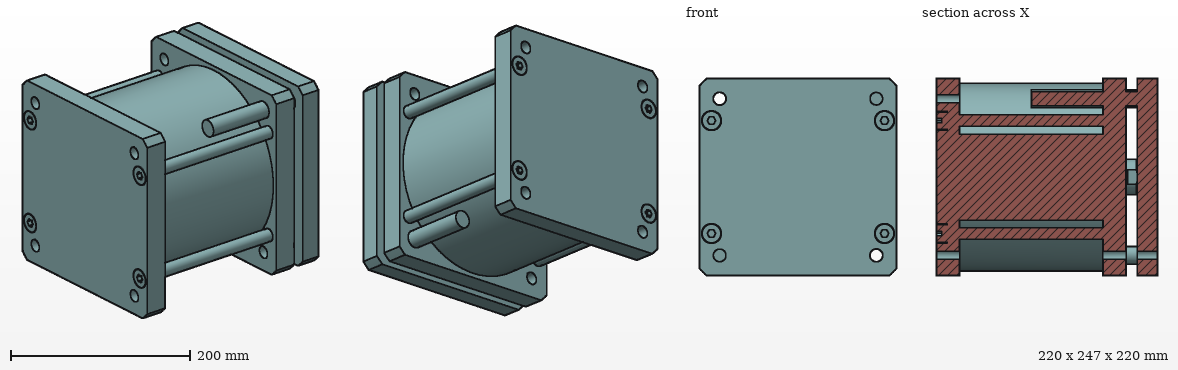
import cadquery as cq

plate_side = 220.0
corner_turning_diameter = 300.0
cover_thickness = 26.0
barrel_length = 160.0
gap = 12.0
tool_plate_thickness = 23.0

barrel_diameter = 210.0

piston_rod_diameter = 40.0
flat_distance = 36.5
flat_length = 10.4
rod_end_chamfer = 1.0

tie_rod_diameter = 15.0
tie_rod_x = 96.5
tie_rod_z = 63.0
counterbore_diameter = 22.0
screw_head_diameter = 21.0
screw_groove_depth = 12.0
socket_sides = 6
socket_across_corners = 9.5
socket_depth = 6.0

guide_offset = 87.5
guide_rod_diameter = 20.0
guide_rod_overhang = 80.0
corner_hole_diameter = 14.0

total_length = 2 * cover_thickness + barrel_length + gap + tool_plate_thickness
front_face = -total_length / 2
barrel_start = front_face + cover_thickness
barrel_end = barrel_start + barrel_length
gap_start = barrel_end + cover_thickness
gap_end = gap_start + gap
back_face = gap_end + tool_plate_thickness

AXIS = [(0, 0)]
SIGNS = (-1, 1)
tie_rod_points = [(sx * tie_rod_x, sz * tie_rod_z) for sx in SIGNS for sz in SIGNS]
corner_points = [(sx * guide_offset, sz * guide_offset) for sx in SIGNS for sz in SIGNS]
guide_rod_points = [(sign * guide_offset, sign * guide_offset) for sign in SIGNS]


def plane_at(y):
    """XZ plane at the given Y, with its normal along +Y and local axes (X, -Z)."""
    return cq.Workplane(cq.Plane(origin=(0, y, 0), xDir=(1, 0, 0), normal=(0, 1, 0)))


def cylinders(points, diameter, start, end):
    """Round bars along Y at the given (X, Z) points."""
    local_points = [(x, -z) for x, z in points]
    return plane_at(start).pushPoints(local_points).circle(diameter / 2).extrude(end - start)


def plate(start, thickness):
    square = plane_at(start).rect(plate_side, plate_side).extrude(thickness)
    return square.intersect(cylinders(AXIS, corner_turning_diameter, start, start + thickness))


def piston_rod():
    rod = cylinders(AXIS, piston_rod_diameter, gap_start, gap_end).faces(">Y").chamfer(rod_end_chamfer)
    rod_radius = piston_rod_diameter / 2
    flat_x = flat_distance / 2
    flat_start = gap_end - flat_length
    runout_start = flat_start - (rod_radius - flat_x)
    flat_cutter = (
        cq.Workplane("XY")
        .polyline([(flat_x, gap_end), (flat_x, flat_start), (rod_radius, runout_start), (rod_radius, gap_end)])
        .close()
        .extrude(rod_radius, both=True)
    )
    return rod.cut(flat_cutter).cut(flat_cutter.mirror("YZ"))


def screw_recesses():
    """Narrow groove around each flush screw head, and its hexagon socket."""
    groove_end = front_face + screw_groove_depth
    groove = cylinders(tie_rod_points, counterbore_diameter, front_face, groove_end).cut(
        cylinders(tie_rod_points, screw_head_diameter, front_face, groove_end)
    )
    sockets = (
        plane_at(front_face)
        .pushPoints(tie_rod_points)
        .polygon(socket_sides, socket_across_corners)
        .extrude(socket_depth)
    )
    return groove.union(sockets)


plates = (
    plate(front_face, cover_thickness)
    .union(plate(barrel_end, cover_thickness))
    .union(plate(gap_end, tool_plate_thickness))
    .cut(cylinders(corner_points, corner_hole_diameter, front_face, back_face))
)

result = (
    plates
    .union(cylinders(AXIS, barrel_diameter, barrel_start, barrel_end))
    .union(cylinders(tie_rod_points, tie_rod_diameter, barrel_start, barrel_end))
    .union(cylinders(guide_rod_points, guide_rod_diameter, barrel_end - guide_rod_overhang, back_face))
    .union(piston_rod())
    .cut(screw_recesses())
)